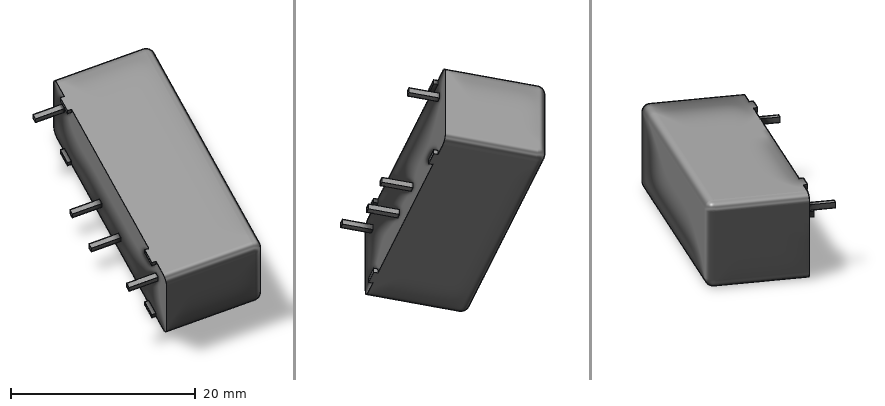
import cadquery as cq

case_length = 30.0
case_height = 10.0
overall_depth = 15.0
edge_radius = 1.0

pin_side = 0.65
inner_pin_length = 3.5
outer_pin_length = 3.45
inner_pin_x = 2.52
outer_pin_x = 12.45
pin_z = 2.52

tab_width = 1.92
tab_thickness = 0.55
tab_length = 0.48
tab_x = 11.22

case_depth = overall_depth - inner_pin_length
case_back_y = overall_depth / 2
mounting_y = case_back_y - case_depth
tab_z = (case_height - tab_thickness) / 2


def make_case():
    """Block rounded on every edge except those around the mounting face."""
    block = cq.Workplane("XY").box(case_length, case_depth, case_height)
    block = block.edges("|Y or >Y").fillet(edge_radius)
    return block.translate((0, case_back_y - case_depth / 2, 0))


def make_posts(width, height, length, places):
    """Rectangular posts pointing toward -Y from the mounting face at (x, z) places."""
    face = cq.Workplane("XZ", origin=(0, mounting_y, 0))
    return face.pushPoints(places).rect(width, height).extrude(length)


inner_pin_places = [(side * inner_pin_x, -pin_z) for side in (-1, 1)]
outer_pin_places = [(side * outer_pin_x, pin_z) for side in (-1, 1)]
tab_places = [(side * tab_x, level * tab_z) for side in (-1, 1) for level in (-1, 1)]

result = (
    make_case()
    .union(make_posts(pin_side, pin_side, inner_pin_length, inner_pin_places))
    .union(make_posts(pin_side, pin_side, outer_pin_length, outer_pin_places))
    .union(make_posts(tab_width, tab_thickness, tab_length, tab_places))
)